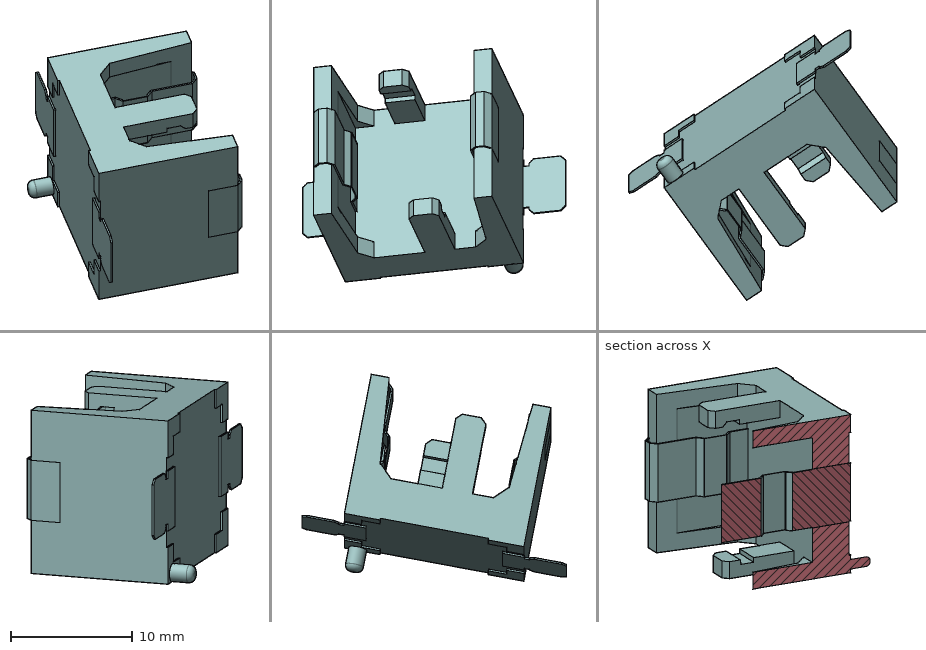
import cadquery as cq
import math


housing_width = 15.1
housing_length = 11.95
housing_height = 13.85
standoff = 0.15

mouth_floor_y = 3.6
wall_tip_thickness = 1.51
wall_root_thickness = 2.11
mouth_chamfer = 1.13

pad_long_x = 3.0
pad_short_x = 1.45
pad_long_z = 3.13
pad_short_z = 1.58

pin_radius = 0.75
pin_length = 1.98
pin_round = 0.51
pin_inset_x = 1.13

post_width = 2.53
post_tip_y = 10.05
post_tip_chamfer = 0.47
post_thickness = 1.5
notch_depth = 0.4
notch_start_y = 7.34
notch_end_y = 8.51
lower_notch_slope = 0.07
upper_notch_slope = notch_depth

sheet = standoff
contact_height = 5.1
contact_center_z = 0.13
foot_end_x = 11.12
foot_neck_height = 3.87
foot_chamfer = 0.4
neck_outer_x = 8.03
neck_inner_x = 7.58
leg_x = 5.74
cap_rise = 0.53
cap_bend = 0.53
outer_leg_end_y = 9.45
bulge = 0.53
bulge_sheet = 0.07
bulge_low_y = 5.82
bulge_high_y = 7.91

relief_height = 10.85

half_width = housing_width / 2
half_height = housing_height / 2
leg_back_x = leg_x + sheet
diagonal = math.sqrt(2)


def box(x0, x1, y0, y1, z0, z1):
    """Axis-aligned box between two opposite corners."""
    return cq.Workplane("XY").box(x1 - x0, y1 - y0, z1 - z0, centered=False).translate((x0, y0, z0))


def extrude_xy(points, z0, z1):
    """Prism of an XY outline between two heights."""
    return cq.Workplane("XY").workplane(offset=z0).polyline(points).close().extrude(z1 - z0)


def make_block():
    """U-shaped block with tapered walls and chamfered inner corners."""
    tip_x = half_width - wall_tip_thickness
    root_x = half_width - wall_root_thickness
    floor_x = root_x - mouth_chamfer
    right_side = [
        (half_width, standoff),
        (half_width, housing_length),
        (tip_x, housing_length),
        (root_x, mouth_floor_y + mouth_chamfer),
        (floor_x, mouth_floor_y),
    ]
    left_side = [(-x, y) for x, y in reversed(right_side)]
    return extrude_xy(right_side + left_side, -half_height, half_height)


def make_corner_pad(side_x, side_z):
    """L-shaped pad in one corner of the mounting face."""
    inner_x = half_width - pad_short_x
    inner_z = half_height - pad_short_z
    outline = [
        (half_width, half_height),
        (half_width - pad_long_x, half_height),
        (half_width - pad_long_x, inner_z),
        (inner_x, inner_z),
        (inner_x, half_height - pad_long_z),
        (half_width, half_height - pad_long_z),
    ]
    points = [(side_x * x, side_z * z) for x, z in outline]
    return cq.Workplane("XZ").polyline(points).close().extrude(-standoff)


def make_pin():
    """Locating pin with a rounded tip, level with the housing bottom."""
    pin = cq.Workplane("XZ").circle(pin_radius).extrude(pin_length).faces("<Y").edges().fillet(pin_round)
    root = cq.Workplane("XZ").circle(pin_radius).extrude(-standoff)
    return pin.union(root).translate((pin_inset_x - half_width, 0, pin_radius - half_height))


def make_post(x0, side_z, notch_slope):
    """Latch post level with the top (side_z = 1) or the bottom (side_z = -1), notched on its inner face."""
    x1 = x0 + post_width
    shoulder_y = post_tip_y - post_tip_chamfer
    plan = [
        (x0, mouth_floor_y),
        (x1, mouth_floor_y),
        (x1, shoulder_y),
        (x1 - post_tip_chamfer, post_tip_y),
        (x0 + post_tip_chamfer, post_tip_y),
        (x0, shoulder_y),
    ]
    inner_z = half_height - post_thickness
    post = extrude_xy(plan, inner_z, half_height)
    notch = (
        cq.Workplane("YZ")
        .workplane(offset=x0)
        .polyline([
            (notch_start_y, inner_z),
            (notch_start_y, inner_z + notch_depth),
            (notch_end_y, inner_z + notch_depth),
            (notch_end_y + notch_slope, inner_z),
        ])
        .close()
        .extrude(post_width)
    )
    post = post.cut(notch)
    return post if side_z > 0 else post.mirror("XY")


def make_relief(side_x):
    """Flat-bottomed pocket in the tapered wall, level with the back of the contact leg."""
    relief = box(0, leg_back_x, mouth_floor_y, housing_length, -relief_height / 2, relief_height / 2)
    return relief if side_x > 0 else relief.mirror("YZ")


def make_contact(side_x):
    """Bent strip: soldering foot, inner leg with bulge, cap over the wall tip and short outer leg."""
    cap_top_y = housing_length + cap_rise
    bend_y = cap_top_y - cap_bend
    inner_cap_y = cap_top_y - sheet
    bend_inset = sheet * (diagonal - 1)
    bulge_x = leg_x - bulge
    arm_x = bulge_x + sheet * diagonal
    arm_run = leg_back_x - arm_x
    strip = [
        (leg_x, 0),
        (leg_x, bulge_low_y - bulge),
        (bulge_x, bulge_low_y),
        (bulge_x, bulge_high_y),
        (leg_x, bulge_high_y + bulge),
        (leg_x, bend_y),
        (leg_x + cap_bend, cap_top_y),
        (half_width - cap_bend, cap_top_y),
        (half_width, bend_y),
        (half_width, outer_leg_end_y),
        (half_width - sheet, outer_leg_end_y),
        (half_width - sheet, bend_y - bend_inset),
        (half_width - cap_bend - bend_inset, inner_cap_y),
        (leg_x + cap_bend + bend_inset, inner_cap_y),
        (leg_back_x, bend_y - bend_inset),
        (leg_back_x, bulge_high_y + arm_run),
        (arm_x, bulge_high_y),
        (bulge_x + bulge_sheet, bulge_high_y),
        (bulge_x + bulge_sheet, bulge_low_y),
        (arm_x, bulge_low_y),
        (leg_back_x, bulge_low_y - arm_run),
        (leg_back_x, 0),
    ]
    half_strip = contact_height / 2
    half_neck = foot_neck_height / 2
    upper_foot = [
        (leg_x, half_strip),
        (neck_inner_x, half_strip),
        (neck_inner_x, half_neck),
        (neck_outer_x, half_neck),
        (neck_outer_x, half_strip - foot_chamfer),
        (neck_outer_x + foot_chamfer, half_strip),
        (foot_end_x - foot_chamfer, half_strip),
        (foot_end_x, half_strip - foot_chamfer),
    ]
    lower_foot = [(x, -z) for x, z in reversed(upper_foot)]
    foot = cq.Workplane("XZ").polyline(upper_foot + lower_foot).close().extrude(-sheet)
    contact = extrude_xy(strip, -half_strip, half_strip).union(foot).translate((0, 0, contact_center_z))
    return contact if side_x > 0 else contact.mirror("YZ")


contacts = [make_contact(side_x) for side_x in (-1, 1)]

housing = make_block()
for side_x in (-1, 1):
    housing = housing.cut(make_relief(side_x))
    for side_z in (-1, 1):
        housing = housing.union(make_corner_pad(side_x, side_z))
housing = housing.union(make_pin())
housing = housing.union(make_post(-post_width, -1, lower_notch_slope))
housing = housing.union(make_post(0, 1, upper_notch_slope))
for contact in contacts:
    housing = housing.cut(contact)

result = cq.Compound.makeCompound([housing.val(), *[contact.val() for contact in contacts]])